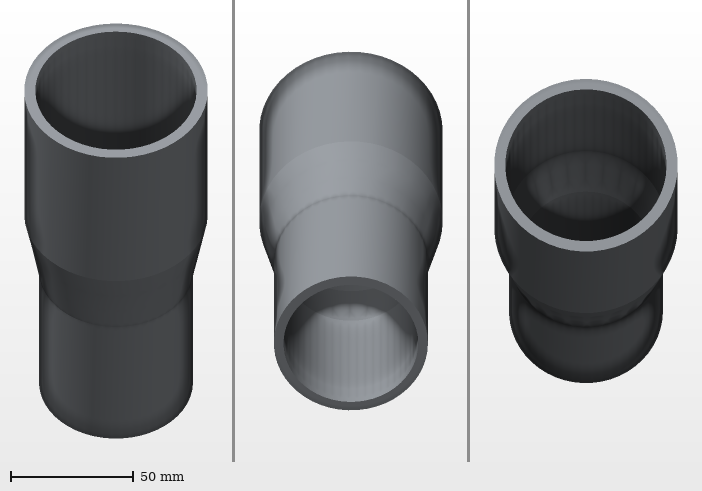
import cadquery as cq

total_height = 175.0
wide_diameter = 75.0
wide_bore = 66.0
narrow_diameter = 63.0
narrow_bore = 55.1
narrow_length = 67.0
taper_length = 34.0

taper_top = narrow_length + taper_length


def reducer_solid(narrow_radius, wide_radius):
    """Solid of revolution: narrow cylinder, cone, wide cylinder."""
    profile = [
        (0, 0),
        (narrow_radius, 0),
        (narrow_radius, narrow_length),
        (wide_radius, taper_top),
        (wide_radius, total_height),
        (0, total_height),
    ]
    return cq.Workplane("XZ").polyline(profile).close().revolve(360, (0, 0, 0), (0, 1, 0))


outside = reducer_solid(narrow_diameter / 2, wide_diameter / 2)
bore = reducer_solid(narrow_bore / 2, wide_bore / 2)
result = outside.cut(bore)